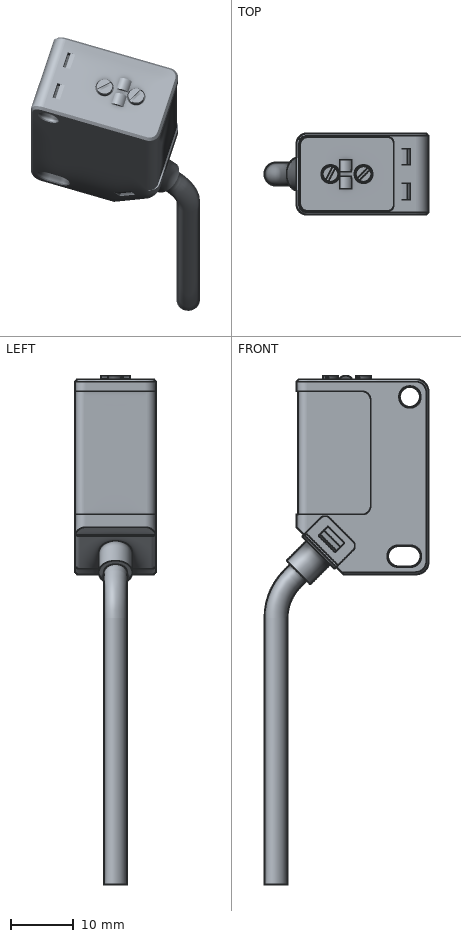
import cadquery as cq
import math

TOTAL_HEIGHT = 81.1
KNOB_PROUD = 0.6
LENGTH = 21.1
WIDTH = 13.0
HEIGHT = 31.15
TOP = TOTAL_HEIGHT - KNOB_PROUD
BOTTOM = TOP - HEIGHT
CUT_CORNER = 7.55
FRONT_RADIUS = 1.7
BACK_RADIUS = 2.0
EDGE_CHAMFER = 0.4

HOLE_DIAMETER = 3.2
HOLE_X = 18.1
HOLE_BELOW_TOP = 2.8
SLOT_LENGTH = 5.1
SLOT_X = 17.2
SLOT_ABOVE_BOTTOM = 2.9
HOLE_CHAMFER = 0.2

COVER_BACK_X = 11.85
COVER_HEIGHT = 19.6
COVER_BELOW_TOP = 1.95
COVER_SETBACK = 0.25
COVER_WALL = 1.0
COVER_CORNER = 1.4

PANEL_INSET = 0.65
PANEL_BACK_X = 15.5
PANEL_THICKNESS = 1.0
PANEL_FRONT_CORNER = FRONT_RADIUS - PANEL_INSET
PANEL_BACK_CORNER = 0.8
KNOB_RADIUS = 1.2
KNOB_WELL_RADIUS = 1.5
KNOB_SLOT_WIDTH = 0.5
KNOB_SLOT_DEPTH = 0.3
WELL_DEPTH = 0.5
FRONT_KNOB_X = 5.4
BACK_KNOB_X = 10.7
KNOBS = [(FRONT_KNOB_X, 63.0), (BACK_KNOB_X, 45.0)]
LAMP_X = 7.9
LAMP_WIDTH = 1.95
LAMP_LENGTH = 1.95
LAMP_GAP = 0.7
LAMP_DOME_RISE = 0.5
LAMP_CLEARANCE_RADIUS = 2.0

RECESS_X = 17.5
RECESS_SIZE = 1.2
RECESS_LENGTH = 2.6
RECESS_Y = 2.75
RECESS_RAMP_DROP = 0.1
RECESS_TRENCH_WIDTH = 0.5
RECESS_TRENCH_DEPTH = 1.0

GLAND_TILT = 45.0
CLIP_WIDTH = 7.3
CLIP_PROUD = 0.4
CLIP_DEPTH = 4.8
CLIP_WALL = 1.0
CLIP_CORNER = 1.0
CLIP_EDGE_RADIUS = 0.8
SLEEVE_DIAMETER = 5.35
SLEEVE_LENGTH = 4.9
CATCH_WIDTH = 3.7
CATCH_BOTTOM = 1.55
CATCH_TOP = 3.65
CATCH_CREST = 0.9
CATCH_GAP = 0.3
CATCH_FOOT = 0.65

CABLE_DIAMETER = 3.7
CABLE_X = -3.25
CABLE_BEND_RADIUS = 8.9


def box(x0, x1, y0, y1, z0, z1):
    return cq.Workplane("XY").box(x1 - x0, y1 - y0, z1 - z0, centered=False).translate((x0, y0, z0))


def cylinder_z(x, radius, z0, z1):
    return cq.Workplane("XY", origin=(x, 0, z0)).circle(radius).extrude(z1 - z0)


def housing_blank():
    blank = box(0, LENGTH, -WIDTH / 2, WIDTH / 2, BOTTOM, TOP)
    blank = blank.edges("|Y and >X").fillet(BACK_RADIUS)
    blank = blank.edges("|Z and <X").fillet(FRONT_RADIUS)
    side_edges = blank.faces("<Y or >Y").edges("not (|Z and <X)")
    front_top_edge = blank.faces(">Z").edges("<X")
    blank = side_edges.add(front_top_edge).chamfer(EDGE_CHAMFER)
    corner = (
        cq.Workplane("XZ", origin=(0, WIDTH / 2, 0))
        .moveTo(0, BOTTOM)
        .lineTo(CUT_CORNER, BOTTOM)
        .lineTo(0, BOTTOM + CUT_CORNER)
        .close()
        .extrude(WIDTH)
    )
    return blank.cut(corner)


def mounting_opening(x, z, outline):
    """Opening across the width from a closed outline, flared where it meets each side face."""
    half = WIDTH / 2
    bore = outline(cq.Workplane("XZ", origin=(x, half, z)), 0).extrude(WIDTH)
    mouth = outline(cq.Workplane("XZ", origin=(x, half, z)), HOLE_CHAMFER).extrude(HOLE_CHAMFER, taper=45)
    return bore.union(mouth).union(mouth.mirror("XZ"))


def round_outline(plane, growth):
    return plane.circle(HOLE_DIAMETER / 2 + growth)


def slot_outline(plane, growth):
    return plane.slot2D(SLOT_LENGTH + 2 * growth, HOLE_DIAMETER + 2 * growth)


def indicator_recess(y):
    """Recess with a shallow ramp down towards the back that ends in a deep trench."""
    front = RECESS_X - RECESS_SIZE / 2
    back = RECESS_X + RECESS_SIZE / 2
    return (
        cq.Workplane("XZ", origin=(0, y + RECESS_LENGTH / 2, 0))
        .moveTo(front, TOP)
        .lineTo(back - RECESS_TRENCH_WIDTH, TOP - RECESS_RAMP_DROP)
        .lineTo(back - RECESS_TRENCH_WIDTH, TOP - RECESS_TRENCH_DEPTH)
        .lineTo(back, TOP - RECESS_TRENCH_DEPTH)
        .lineTo(back, TOP)
        .close()
        .extrude(RECESS_LENGTH)
    )


def cover_block(front, half_width, front_corner):
    """Block as tall and as far back as the window cover, with rounded front corners."""
    cover_top = TOP - COVER_BELOW_TOP
    block = box(front, COVER_BACK_X, -half_width, half_width, cover_top - COVER_HEIGHT, cover_top)
    return block.edges("|Z and <X").fillet(front_corner)


def cover_shell(front):
    """U-shaped wall around the front core of the housing, with its outer face at X = front."""
    outer = cover_block(front, WIDTH / 2, FRONT_RADIUS - front)
    outer = outer.edges("|Y and >X").fillet(COVER_CORNER)
    core_front = COVER_SETBACK + COVER_WALL
    return outer.cut(cover_block(core_front, WIDTH / 2 - COVER_WALL, FRONT_RADIUS - COVER_WALL))


def panel_blank():
    half_width = WIDTH / 2 - PANEL_INSET
    blank = box(PANEL_INSET, PANEL_BACK_X, -half_width, half_width, TOP - PANEL_THICKNESS, TOP)
    blank = blank.edges("|Z and <X").fillet(PANEL_FRONT_CORNER)
    return blank.edges("|Z and >X").fillet(PANEL_BACK_CORNER)


def make_lamp(side):
    """Domed bar on one side of the mid plane, rounded off around the rear knob."""
    base = TOP - PANEL_THICKNESS
    shoulder = TOTAL_HEIGHT - LAMP_DOME_RISE
    bar = (
        cq.Workplane("XZ", origin=(0, LAMP_LENGTH / 2, 0))
        .moveTo(LAMP_X - LAMP_WIDTH / 2, base)
        .lineTo(LAMP_X - LAMP_WIDTH / 2, shoulder)
        .threePointArc((LAMP_X, TOTAL_HEIGHT), (LAMP_X + LAMP_WIDTH / 2, shoulder))
        .lineTo(LAMP_X + LAMP_WIDTH / 2, base)
        .close()
        .extrude(LAMP_LENGTH)
        .translate((0, side * (LAMP_GAP + LAMP_LENGTH) / 2, 0))
    )
    return bar.cut(cylinder_z(BACK_KNOB_X, LAMP_CLEARANCE_RADIUS, base, TOTAL_HEIGHT))


def make_knob(x, slot_angle):
    """Slotted adjuster standing in a well of the panel."""
    base = TOP - PANEL_THICKNESS
    body = cylinder_z(x, KNOB_RADIUS, base, TOTAL_HEIGHT)
    slot = (
        cq.Workplane("XY", origin=(x, 0, TOTAL_HEIGHT - KNOB_SLOT_DEPTH))
        .transformed(rotate=(0, 0, slot_angle))
        .rect(2 * KNOB_WELL_RADIUS, KNOB_SLOT_WIDTH)
        .extrude(KNOB_SLOT_DEPTH)
    )
    return body.cut(slot)


def place_on_cut_corner(local):
    """Turn a part drawn along Z so that it points into the housing from the cut corner."""
    turned = local.rotate((0, 0, 0), (0, 1, 0), GLAND_TILT)
    return turned.translate((CUT_CORNER / 2, 0, BOTTOM + CUT_CORNER / 2))


def clip():
    """End plate on the cut corner with an ear along each side of the housing."""
    across = CLIP_WIDTH / 2
    side = WIDTH / 2
    outline = box(-across, across, -side, side, -CLIP_PROUD, CLIP_DEPTH)
    outline = outline.edges("|Y and >Z").fillet(CLIP_CORNER)
    outline = outline.edges("|X and <Z").fillet(CLIP_EDGE_RADIUS)
    core_side = side - CLIP_WALL
    return outline.cut(box(-across, across, -core_side, core_side, CLIP_WALL - CLIP_PROUD, CLIP_DEPTH))


def ear_openings():
    across = CATCH_WIDTH / 2
    return box(-across, across, -WIDTH / 2, WIDTH / 2, CATCH_BOTTOM, CATCH_TOP)


def catches():
    """Ramped catches of the housing that stand in the openings of both ears."""
    side = WIDTH / 2
    root = side - CLIP_WALL
    wedge = (
        cq.Workplane("YZ", origin=(-CATCH_WIDTH / 2, 0, 0))
        .moveTo(root, CATCH_BOTTOM + CATCH_GAP)
        .lineTo(root + CATCH_FOOT, CATCH_BOTTOM + CATCH_GAP)
        .lineTo(side, CATCH_TOP - CATCH_CREST)
        .lineTo(side, CATCH_TOP)
        .lineTo(root, CATCH_TOP)
        .close()
        .extrude(CATCH_WIDTH)
    )
    return [wedge, wedge.mirror("XZ")]


def make_housing():
    housing = housing_blank().cut(cover_shell(0)).cut(panel_blank())
    housing = housing.cut(mounting_opening(HOLE_X, TOP - HOLE_BELOW_TOP, round_outline))
    housing = housing.cut(mounting_opening(SLOT_X, BOTTOM + SLOT_ABOVE_BOTTOM, slot_outline))
    for side in (-1, 1):
        housing = housing.cut(indicator_recess(side * RECESS_Y))
    housing = housing.cut(place_on_cut_corner(clip()))
    for catch in catches():
        housing = housing.union(place_on_cut_corner(catch))
    return housing


def make_panel():
    panel = panel_blank()
    for x, _ in KNOBS:
        panel = panel.cut(cylinder_z(x, KNOB_WELL_RADIUS, TOP - WELL_DEPTH, TOP))
        panel = panel.cut(cylinder_z(x, KNOB_RADIUS, TOP - PANEL_THICKNESS, TOP))
    for side in (-1, 1):
        panel = panel.cut(make_lamp(side))
    return panel


def make_gland():
    sleeve = cq.Workplane("XY").circle(SLEEVE_DIAMETER / 2).extrude(-SLEEVE_LENGTH)
    return place_on_cut_corner(clip().cut(ear_openings()).union(sleeve))


def make_cable():
    """Cable that leaves the sleeve on the gland axis and bends down to hang vertically."""
    tilt = math.radians(GLAND_TILT)
    start_x = CUT_CORNER / 2 - SLEEVE_LENGTH * math.sin(tilt)
    start_z = BOTTOM + CUT_CORNER / 2 - SLEEVE_LENGTH * math.cos(tilt)
    bend_x = CABLE_X + CABLE_BEND_RADIUS * (1 - math.cos(tilt))
    bend_z = start_z - (start_x - bend_x) / math.tan(tilt)
    mid_x = CABLE_X + CABLE_BEND_RADIUS * (1 - math.cos(tilt / 2))
    straight_z = bend_z - CABLE_BEND_RADIUS * math.sin(tilt)
    mid_z = straight_z + CABLE_BEND_RADIUS * math.sin(tilt / 2)
    path = (
        cq.Workplane("XZ")
        .moveTo(CABLE_X, 0)
        .lineTo(CABLE_X, straight_z)
        .threePointArc((mid_x, mid_z), (bend_x, bend_z))
        .lineTo(start_x, start_z)
    )
    return cq.Workplane("XY", origin=(CABLE_X, 0, 0)).circle(CABLE_DIAMETER / 2).sweep(path)


housing = make_housing()
window_cover = cover_shell(COVER_SETBACK)
panel = make_panel()
knobs = [make_knob(x, angle) for x, angle in KNOBS]
lamps = [make_lamp(side) for side in (-1, 1)]
gland = make_gland()
cable = make_cable()

result = cq.Compound.makeCompound(
    [
        housing.val(),
        window_cover.val(),
        panel.val(),
        *[knob.val() for knob in knobs],
        *[lamp.val() for lamp in lamps],
        gland.val(),
        cable.val(),
    ]
)